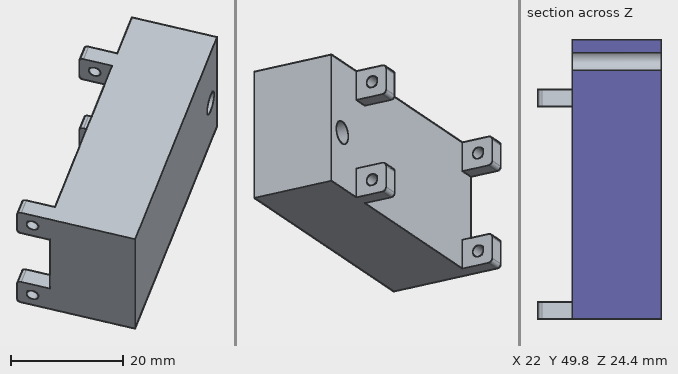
import cadquery as cq

overall_width = 22.0
length = 49.8
height = 24.4
lug_reach = 6.15
body_width = overall_width - lug_reach

lug_height = 5.6
lug_thickness = 3.1
lug_pitch = 37.85
lug_corner_radius = 0.75
lug_hole_diameter = 2.2
lug_hole_from_tip = 2.9
lug_hole_from_edge = 2.75

cable_hole_diameter = 4.25
cable_hole_from_back = 3.9
cable_hole_from_bottom = 10.7

x_min = -overall_width / 2
y_min = -length / 2
body_face_x = x_min + lug_reach


def make_body():
    """Plain block, with its -X face carrying the lugs."""
    return cq.Workplane("XY").box(body_width, length, height).translate((lug_reach / 2, 0, 0))


def make_lug(y_front, side):
    """Drilled lug starting at y_front, flush with the top (side=1) or bottom (side=-1)."""
    centre = (
        x_min + lug_reach / 2,
        y_front + lug_thickness / 2,
        side * (height - lug_height) / 2,
    )
    lug = cq.Workplane("XY").box(lug_reach, lug_thickness, lug_height)
    lug = lug.edges("|Y and <X").fillet(lug_corner_radius).translate(centre)
    hole_z = side * (height / 2 - lug_hole_from_edge)
    hole = (
        cq.Workplane("XZ", origin=(x_min + lug_hole_from_tip, y_front, hole_z))
        .circle(lug_hole_diameter / 2)
        .extrude(-lug_thickness)
    )
    return lug.cut(hole)


def make_cable_hole():
    """Cylinder running the full width of the body."""
    hole_y = length / 2 - cable_hole_from_back
    hole_z = -height / 2 + cable_hole_from_bottom
    return (
        cq.Workplane("YZ", origin=(body_face_x, hole_y, hole_z))
        .circle(cable_hole_diameter / 2)
        .extrude(body_width)
    )


result = make_body().cut(make_cable_hole())
for lug_y in (y_min, y_min + lug_pitch):
    for lug_side in (1, -1):
        result = result.union(make_lug(lug_y, lug_side))